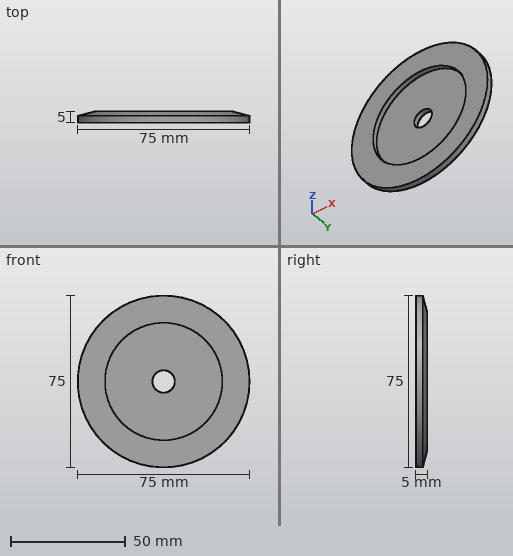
import cadquery as cq

outer_diameter = 75.0
thickness = 5.0
rim_thickness = 3.0
back_face_diameter = 60.0
recess_diameter = 51.2
recess_depth = 2.5
bore_diameter = 9.7

outer_radius = outer_diameter / 2
back_face_radius = back_face_diameter / 2
recess_radius = recess_diameter / 2
bore_radius = bore_diameter / 2

half_section = [
    (bore_radius, recess_depth),
    (recess_radius, recess_depth),
    (recess_radius, 0),
    (outer_radius, 0),
    (outer_radius, rim_thickness),
    (back_face_radius, thickness),
    (bore_radius, thickness),
]

result = cq.Workplane("XY").polyline(half_section).close().revolve(360, (0, 0), (0, 1))